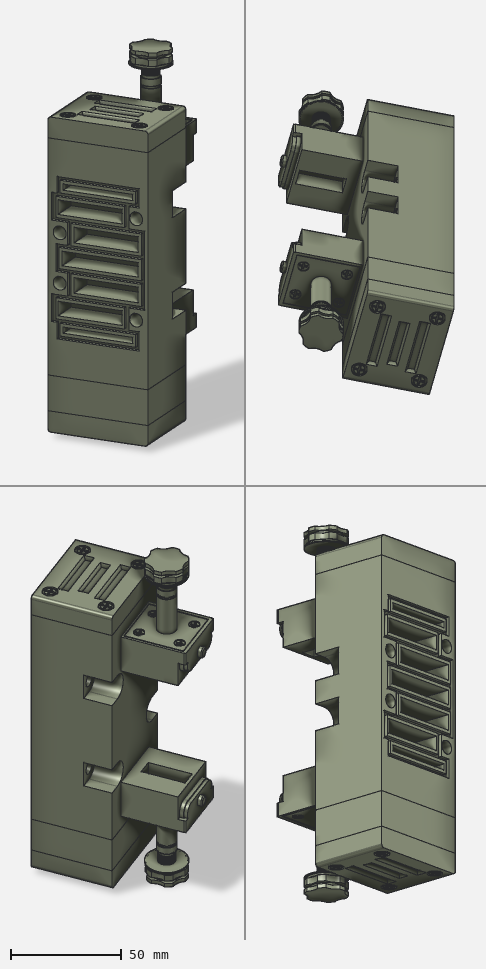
import cadquery as cq
import math


WIDTH = 50.0
DEPTH = 40.1
BODY_HALF = 56.5
SPACER_HEIGHT = 17.0
CAP_HEIGHT = 10.0
CAP_FILLET = 1.5

HOLE_X = 19.1
HOLE_DIA = 6.5
OUTER_HOLE_Z = 24.1
INNER_HOLE_Z = 12.0
NOTCH_DIA = 12.9
NOTCH_DEPTH = 14.0

GROOVE_WIDTH = 1.5
GROOVE_DEPTH = 1.7
PORT_DEPTH = 13.9
PILOT_PORT_HALF_X = 17.4
PILOT_PORT_Z = 34.0
PILOT_PORT_HEIGHT = 3.0
EXHAUST_LEFT, EXHAUST_RIGHT = -20.0, 12.2
EXHAUST_Z = 24.1
EXHAUST_HEIGHT = 7.0
EXHAUST_SIDE_LAND = 1.0
WORK_LEFT, WORK_RIGHT = -12.0, 20.1
WORK_Z = 12.0
WORK_HEIGHT = 7.5
SUPPLY_LEFT = -17.9
SUPPLY_HEIGHT = 7.0
LAND = 1.5
EXHAUST_SIDE_GROOVE = 2.3

SLOT_PITCH = 9.0
SLOT_WIDTH = 5.0
LONG_SLOT = 28.7
SHORT_SLOT = 24.3
SLOT_DEPTH = 1.7
SLOT_TAPER = 30
CAP_SCREW_X = 17.9
CAP_SCREW_PITCH_Y = 27.8
CAP_SCREW_DIA = 7.1
CAP_SCREW_HEAD_DIA = 5.2
CAP_CROSS = 4.2
CAP_SCREW_RING_DEPTH = 0.9

PILOT_WIDTH = 30.5
PILOT_INNER_Z = 30.7
PILOT_OUTER_Z = 49.5
PILOT_DEPTH = 28.3
LIP_DEPTH = 31.3
LIP_BOTTOM_Z = 43.0
PLATE_END = 32.1
PLATE_INSET = 0.2
PANEL_WIDTH = 27.5
PANEL_FRONT, PANEL_REAR = 0.9, 30.2
PANEL_Z = PILOT_OUTER_Z - 0.3
PILOT_SCREW_X = 8.0
PILOT_SCREW_Y = 10.0
PILOT_SCREW_DIA = 5.0
PILOT_CROSS = 3.5
PILOT_SCREW_RECESS = 0.5
CORE_SLOT_WIDTH = 7.8
CORE_SLOT_LENGTH = 21.7
CORE_SLOT_DEPTH = 8.7

PLUG_Z = 41.0
PLUG_LENGTH, PLUG_HEIGHT = 27.8, 9.7
PLUG_SHOULDER_Y = 30.4
PLUG_STEP = 0.5
BUTTON_DIA, BUTTON_END = 5.2, 34.4
BUTTON_CHAMFER = 0.5

STEM_Y = 15.8
STEM_RADIUS = 4.7
NECK_RADIUS = 4.2
STEM_GROOVE_START, STEM_GROOVE_END = 68.1, 69.1
STEM_TOP = 72.6
THREAD_START = 74.0
THREAD_TURNS = 10
THREAD_DEPTH = 0.26
FLANGE_START = 78.9
FLANGE_HEIGHT = 0.5
UNDERCUT_RADIUS = 9.4
LOWER_LOBES_START, LOWER_LOBES_END = 80.5, 83.5
WAIST_RADIUS = 7.8
UPPER_LOBES_START = 85.0
KNOB_END = 86.8
KNOB_RADIUS = 10.0
LOBES = 6
SCALLOP_RADIUS = 7.0
SCALLOP_DEPTH = 1.4

CROSS_ARM = 0.9
CROSS_DEPTH = 0.9


def block(x0, x1, y0, y1, z0, z1):
    """Box between opposite corners."""
    return cq.Workplane("XY").box(x1 - x0, y1 - y0, z1 - z0, centered=False).translate((x0, y0, z0))


def rod(dia, x, y, z0, z1):
    """Round bar along Z."""
    return cq.Workplane("XY", origin=(x, y, z0)).circle(dia / 2).extrude(z1 - z0)


def cross(length, x, y, z_top):
    """Cross-shaped screw recess, CROSS_DEPTH deep below z_top."""
    across = cq.Workplane("XY").box(length, CROSS_ARM, CROSS_DEPTH)
    along = cq.Workplane("XY").box(CROSS_ARM, length, CROSS_DEPTH)
    return across.union(along).translate((x, y, z_top - CROSS_DEPTH / 2))


def front_rect(left, right, z, height, margin_x, margin_z, depth):
    """Rectangle sunk into the port face, with a margin around its sides."""
    half = height / 2 + margin_z
    return block(left - margin_x, right + margin_x, -DEPTH, -DEPTH + depth, z - half, z + half)


def ports():
    """Left, right, centre height, height, side land and side groove of each port."""
    found = [(SUPPLY_LEFT, WORK_RIGHT, 0, SUPPLY_HEIGHT, LAND, GROOVE_WIDTH)]
    for side in (1, -1):
        work_z, exhaust_z, pilot_z = side * WORK_Z, side * EXHAUST_Z, side * PILOT_PORT_Z
        found.append((WORK_LEFT, WORK_RIGHT, work_z, WORK_HEIGHT, LAND, GROOVE_WIDTH))
        found.append((
            EXHAUST_LEFT, EXHAUST_RIGHT, exhaust_z, EXHAUST_HEIGHT,
            EXHAUST_SIDE_LAND, EXHAUST_SIDE_GROOVE,
        ))
        found.append((
            -PILOT_PORT_HALF_X, PILOT_PORT_HALF_X, pilot_z, PILOT_PORT_HEIGHT,
            LAND, GROOVE_WIDTH,
        ))
    return found


def cut_port_face(body):
    """Cut one seal groove around the lands of all seven ports, then the ports themselves."""
    grooves = None
    lands = None
    for left, right, z, height, land, side_groove in ports():
        groove = front_rect(left, right, z, height, land + side_groove, LAND + GROOVE_WIDTH, GROOVE_DEPTH)
        rim = front_rect(left, right, z, height, land, LAND, GROOVE_DEPTH)
        grooves = groove if grooves is None else grooves.union(groove)
        lands = rim if lands is None else lands.union(rim)
    body = body.cut(grooves.cut(lands))
    for left, right, z, height, _, _ in ports():
        body = body.cut(front_rect(left, right, z, height, 0, 0, PORT_DEPTH))
    return body


def cut_mounting_holes(body):
    """Through holes along Y, each opening into a U-shaped notch at the rear side edge."""
    for side, hole_z in ((1, OUTER_HOLE_Z), (-1, INNER_HOLE_Z)):
        for z in (hole_z, -hole_z):
            rear = cq.Workplane("XZ", origin=(side * HOLE_X, 0, z))
            body = body.cut(rear.circle(HOLE_DIA / 2).extrude(DEPTH))
            body = body.cut(rear.circle(NOTCH_DIA / 2).extrude(NOTCH_DEPTH))
            inner, outer = sorted((side * HOLE_X, side * WIDTH / 2))
            half = NOTCH_DIA / 2
            body = body.cut(block(inner, outer, -NOTCH_DEPTH, 0, z - half, z + half))
    return body


def make_valve_body():
    body = block(-WIDTH / 2, WIDTH / 2, -DEPTH, 0, -BODY_HALF, BODY_HALF)
    return cut_mounting_holes(cut_port_face(body))


def make_spacer():
    return block(-WIDTH / 2, WIDTH / 2, -DEPTH, 0, -BODY_HALF - SPACER_HEIGHT, -BODY_HALF)


def make_end_cap():
    """End cap sitting on Z = 0 with its outer face up."""
    middle_y = -DEPTH / 2
    cap = block(-WIDTH / 2, WIDTH / 2, -DEPTH, 0, 0, CAP_HEIGHT)
    cap = cap.faces(">Z").edges("|Y").fillet(CAP_FILLET)
    for step, length in ((-1, LONG_SLOT), (0, SHORT_SLOT), (1, LONG_SLOT)):
        slot = cq.Workplane("XY", origin=(0, middle_y + step * SLOT_PITCH, CAP_HEIGHT))
        cap = cap.cut(slot.rect(length, SLOT_WIDTH).extrude(-SLOT_DEPTH, taper=SLOT_TAPER))
    for x in (-CAP_SCREW_X, CAP_SCREW_X):
        for y in (middle_y - CAP_SCREW_PITCH_Y / 2, middle_y + CAP_SCREW_PITCH_Y / 2):
            ring = cq.Workplane("XY", origin=(x, y, CAP_HEIGHT - CAP_SCREW_RING_DEPTH))
            ring = ring.circle(CAP_SCREW_DIA / 2).circle(CAP_SCREW_HEAD_DIA / 2).extrude(CAP_SCREW_RING_DEPTH)
            cap = cap.cut(ring).cut(cross(CAP_CROSS, x, y, CAP_HEIGHT))
    return cap


def plug_layer(step, y_end):
    """Round-ended layer of the plug, its outline drawn in by the given step."""
    face = cq.Workplane("XZ", origin=(0, PILOT_DEPTH, PLUG_Z))
    return face.slot2D(PLUG_LENGTH - 2 * step, PLUG_HEIGHT - 2 * step).extrude(PILOT_DEPTH - y_end)


def make_plug():
    """Stepped plug with the push button of the manual override on its rear face, along Y."""
    button = cq.Workplane("XZ", origin=(0, LIP_DEPTH, PLUG_Z))
    button = button.circle(BUTTON_DIA / 2).extrude(LIP_DEPTH - BUTTON_END)
    button = button.faces(">Y").chamfer(BUTTON_CHAMFER)
    return plug_layer(0, PLUG_SHOULDER_Y).union(plug_layer(PLUG_STEP, PLATE_END)).union(button)


def make_pilot_head():
    """Pilot head at the +Z end, its stem face up."""
    half = PILOT_WIDTH / 2
    lip = block(-half, half, 0, LIP_DEPTH, LIP_BOTTOM_Z, PILOT_OUTER_Z)
    plate_half = half - PLATE_INSET
    plate = block(-plate_half, plate_half, LIP_DEPTH, PLATE_END, LIP_BOTTOM_Z, PILOT_OUTER_Z)
    head = block(-half, half, 0, PILOT_DEPTH, PILOT_INNER_Z, PILOT_OUTER_Z)
    head = head.union(lip).union(plate).union(make_plug())

    panel = block(-PANEL_WIDTH / 2, PANEL_WIDTH / 2, PANEL_FRONT, PANEL_REAR, PANEL_Z, PILOT_OUTER_Z)
    head = head.cut(panel)

    for x in (-PILOT_SCREW_X, PILOT_SCREW_X):
        for y in (STEM_Y - PILOT_SCREW_Y, STEM_Y + PILOT_SCREW_Y):
            seat_z = PANEL_Z - PILOT_SCREW_RECESS
            head = head.cut(rod(PILOT_SCREW_DIA, x, y, seat_z, PANEL_Z))
            head = head.cut(cross(PILOT_CROSS, x, y, seat_z))

    slot_half_y = CORE_SLOT_LENGTH / 2
    core_slot = block(
        -CORE_SLOT_WIDTH / 2, CORE_SLOT_WIDTH / 2,
        STEM_Y - slot_half_y, STEM_Y + slot_half_y,
        PILOT_INNER_Z, PILOT_INNER_Z + CORE_SLOT_DEPTH,
    )
    return head.cut(core_slot)


def make_lobed_disc(z0, z1, first_scallop):
    """Knob disc with scallops around its rim, the first one at the given angle."""
    disc = rod(2 * KNOB_RADIUS, 0, STEM_Y, z0, z1)
    reach = KNOB_RADIUS - SCALLOP_DEPTH + SCALLOP_RADIUS
    for i in range(LOBES):
        angle = math.radians(first_scallop + i * 360 / LOBES)
        x = reach * math.cos(angle)
        y = STEM_Y + reach * math.sin(angle)
        disc = disc.cut(rod(2 * SCALLOP_RADIUS, x, y, z0, z1))
    return disc


def make_knob_stem(first_scallop):
    """Stem with a thread and a scalloped knob, standing on the panel of the +Z pilot head."""
    pitch = (FLANGE_START - THREAD_START) / THREAD_TURNS
    profile = [
        (0, PANEL_Z),
        (STEM_RADIUS, PANEL_Z),
        (STEM_RADIUS, STEM_GROOVE_START),
        (NECK_RADIUS, STEM_GROOVE_START),
        (NECK_RADIUS, STEM_GROOVE_END),
        (STEM_RADIUS, STEM_GROOVE_END),
        (STEM_RADIUS, STEM_TOP),
        (NECK_RADIUS, STEM_TOP),
        (NECK_RADIUS, THREAD_START),
    ]
    for turn in range(THREAD_TURNS):
        profile.append((NECK_RADIUS - THREAD_DEPTH, THREAD_START + (turn + 0.5) * pitch))
        profile.append((NECK_RADIUS, THREAD_START + (turn + 1) * pitch))
    profile += [
        (KNOB_RADIUS, FLANGE_START),
        (KNOB_RADIUS, FLANGE_START + FLANGE_HEIGHT),
        (UNDERCUT_RADIUS, FLANGE_START + FLANGE_HEIGHT),
        (UNDERCUT_RADIUS, LOWER_LOBES_START),
        (WAIST_RADIUS, LOWER_LOBES_START),
        (WAIST_RADIUS, KNOB_END),
        (0, KNOB_END),
    ]
    stem = cq.Workplane("XZ").polyline(profile).close().revolve(360, (0, 0, 0), (0, 1, 0))
    stem = stem.translate((0, STEM_Y, 0))
    stem = stem.union(make_lobed_disc(LOWER_LOBES_START, LOWER_LOBES_END, first_scallop))
    return stem.union(make_lobed_disc(UPPER_LOBES_START, KNOB_END, first_scallop))


valve_body = make_valve_body()
spacer = make_spacer()
end_cap = make_end_cap()
top_cap = end_cap.translate((0, 0, BODY_HALF))
bottom_cap = end_cap.mirror("XY").translate((0, 0, -BODY_HALF - SPACER_HEIGHT))
top_pilot_head = make_pilot_head()
bottom_pilot_head = top_pilot_head.mirror("XY")

top_knob_stem = make_knob_stem(180 / LOBES)
bottom_knob_stem = make_knob_stem(0).mirror("XY")

result = cq.Compound.makeCompound([
    valve_body.val(),
    spacer.val(),
    top_cap.val(),
    bottom_cap.val(),
    top_pilot_head.val(),
    bottom_pilot_head.val(),
    top_knob_stem.val(),
    bottom_knob_stem.val(),
])